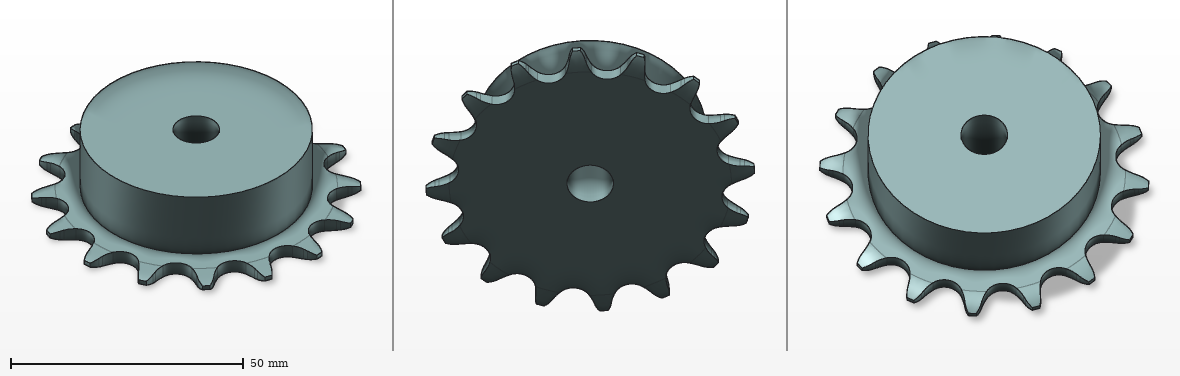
import cadquery as cq
import math

teeth = 16
chain_pitch = 12.7
roller_diameter = 7.9
outer_diameter = 70.9
plate_thickness = 3.0
total_height = 18.0
hub_diameter = 50.0
bore_diameter = 10.0
seat_clearance = 0.1
bevel_start_radius = 30.4
side_radius = 13.6

half_tooth_angle = math.pi / teeth
pitch_radius = chain_pitch / 2 / math.sin(half_tooth_angle)
outer_radius = outer_diameter / 2
seat_radius = roller_diameter / 2 + seat_clearance
working_offset = 0.8 * roller_diameter
working_radius = seat_radius + working_offset
topping_offset = 1.4 * roller_diameter
seat_end_angle = math.radians(35 + 60 / teeth)
working_sweep = math.radians(18 - 56 / teeth)
flank_angle = seat_end_angle - working_sweep
topping_angle = math.radians(17 - 64 / teeth)
flank_length = topping_offset * math.sin(topping_angle) - working_offset * math.sin(working_sweep)
topping_radius = (
    working_offset * math.cos(working_sweep)
    + topping_offset * math.cos(topping_angle)
    - working_radius
)


def below(center, radius, angle):
    """Point at a radius from center and an angle below +X; a negative radius gives the opposite point."""
    return (center[0] + radius * math.cos(angle), center[1] - radius * math.sin(angle))


def mirrored(point):
    """Same point on the other side of the Y axis."""
    return (-point[0], point[1])


def tooth_gap():
    """Prism of the space between two teeth, centred on the +Y axis."""
    seat_center = (0, pitch_radius)
    working_center = below(seat_center, -working_offset, seat_end_angle)
    seat_bottom = (0, pitch_radius - seat_radius)
    seat_end = below(seat_center, seat_radius, seat_end_angle)
    working_middle = below(working_center, working_radius, (seat_end_angle + flank_angle) / 2)
    working_end = below(working_center, working_radius, flank_angle)
    flank_end = (
        working_end[0] + flank_length * math.sin(flank_angle),
        working_end[1] + flank_length * math.cos(flank_angle),
    )
    topping_center = below(flank_end, topping_radius, flank_angle)

    center_distance = math.hypot(*topping_center)
    center_bearing = math.atan2(topping_center[1], topping_center[0])
    crossing_offset = math.acos(
        (outer_radius**2 + center_distance**2 - topping_radius**2)
        / (2 * outer_radius * center_distance)
    )
    tip_bearing = center_bearing + crossing_offset
    tip = (outer_radius * math.cos(tip_bearing), outer_radius * math.sin(tip_bearing))
    tip_angle = math.atan2(tip[1] - topping_center[1], topping_center[0] - tip[0])
    topping_middle = below(topping_center, -topping_radius, (flank_angle + tip_angle) / 2)

    clear_height = outer_radius + plate_thickness
    return (
        cq.Workplane("XY")
        .moveTo(*mirrored(tip))
        .threePointArc(mirrored(topping_middle), mirrored(flank_end))
        .lineTo(*mirrored(working_end))
        .threePointArc(mirrored(working_middle), mirrored(seat_end))
        .threePointArc(seat_bottom, seat_end)
        .threePointArc(working_middle, working_end)
        .lineTo(*flank_end)
        .threePointArc(topping_middle, tip)
        .lineTo(tip[0], clear_height)
        .lineTo(-tip[0], clear_height)
        .close()
        .extrude(plate_thickness)
    )


def side_drop(reach):
    """How far a rounded tooth side falls away at a radial reach past its start."""
    return side_radius - math.sqrt(side_radius**2 - reach**2)


def blank():
    """Disc whose rim narrows outward on both faces along tangent arcs."""
    full_reach = outer_radius - bevel_start_radius
    middle_radius = bevel_start_radius + full_reach / 2
    tip_drop = side_drop(full_reach)
    middle_drop = side_drop(full_reach / 2)
    return (
        cq.Workplane("XZ")
        .lineTo(bevel_start_radius, 0)
        .threePointArc((middle_radius, middle_drop), (outer_radius, tip_drop))
        .lineTo(outer_radius, plate_thickness - tip_drop)
        .threePointArc(
            (middle_radius, plate_thickness - middle_drop),
            (bevel_start_radius, plate_thickness),
        )
        .lineTo(0, plate_thickness)
        .close()
        .revolve(360, (0, 0, 0), (0, 1, 0))
    )


sprocket = blank()
gap = tooth_gap()
for index in range(teeth):
    sprocket = sprocket.cut(gap.rotate((0, 0, 0), (0, 0, 1), index * 360 / teeth))

hub = cq.Workplane("XY").circle(hub_diameter / 2).extrude(total_height)
bore = cq.Workplane("XY").circle(bore_diameter / 2).extrude(total_height)
result = sprocket.union(hub).cut(bore)